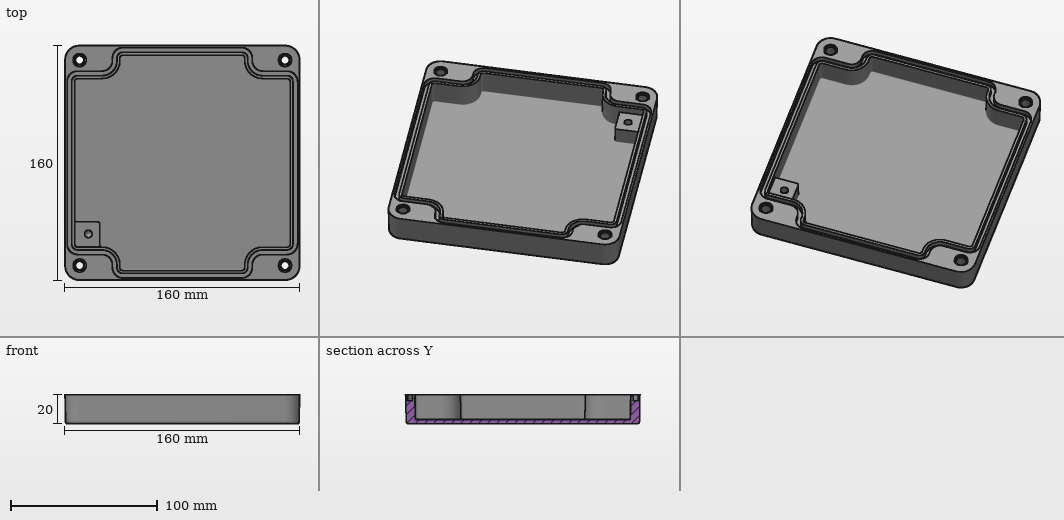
import cadquery as cq
import math

side = 160.0
height = 20.0
corner_radius = 10.0
bottom_fillet = 2.0
draft_angle = 1.0

lip_width = 1.5
groove_width = 3.2
groove_depth = 4.0
rim_width = 2.0

step_along_x = 32.3
step_along_y = 17.5
convex_radius = 7.2
concave_radius = 7.0

floor_thickness = 3.2
floor_fillet = 0.5

screw_inset = 10.0
recess_diameter = 9.0
recess_depth = 1.5
bore_top_diameter = 6.5
bore_bottom_diameter = 5.8

pad_inner_edge_x = 23.7
pad_inner_edge_y = 39.7
pad_top = 14.9
pad_corner_radius = 1.3
pad_hole_inset_x = 16.0
pad_hole_inset_y = 31.5
pad_hole_diameter = 5.1
pad_hole_depth = 6.4
drill_tip_angle = 118

half_side = side / 2


def rectangle_sketch(size_x, size_y, radius):
    return cq.Sketch().rect(size_x, size_y).vertices().fillet(radius)


def stepped_face(inset):
    """Flat face inside the groove outline, with the outline moved inward by inset."""
    reach = half_side - lip_width - inset
    step_x = half_side - step_along_x - inset
    step_y = half_side - step_along_y - inset
    convex = convex_radius - inset
    concave = concave_radius + inset
    outline = (
        rectangle_sketch(2 * reach, 2 * step_y, convex)
        .reset().face(rectangle_sketch(2 * step_x, 2 * reach, convex))
        .clean().reset()
    )
    for sign_x in (-1, 1):
        for sign_y in (-1, 1):
            inner_corner = cq.selectors.NearestToPointSelector((sign_x * step_x, sign_y * step_y, 0))
            outline = outline.vertices(inner_corner).fillet(concave).reset()
    return outline


def drafted_down(outline, top, depth, taper):
    """Solid below an outline; a positive taper narrows it toward the bottom."""
    return (
        cq.Workplane("XY", origin=(0, 0, top)).placeSketch(outline)
        .extrude(-depth, taper=taper)
    )


def outer_block():
    block = drafted_down(rectangle_sketch(side, side, corner_radius), height, height, draft_angle)
    return block.faces("<Z").edges().fillet(bottom_fillet)


def seal_groove():
    rim = drafted_down(stepped_face(groove_width), height, groove_depth, -draft_angle)
    return drafted_down(stepped_face(0), height, groove_depth, draft_angle).cut(rim)


def pad():
    """Block over the cavity corner; the cavity walls bound its outer sides."""
    outline = (
        cq.Sketch().push([(-half_side, -half_side)])
        .rect(2 * pad_inner_edge_x, 2 * pad_inner_edge_y)
        .reset().vertices().fillet(pad_corner_radius)
    )
    return drafted_down(outline, pad_top, pad_top - floor_thickness, -draft_angle)


def cavity():
    """Open space above the floor and the pad, rounded along the floor."""
    opening = stepped_face(groove_width + rim_width)
    space = drafted_down(opening, height, height - floor_thickness, draft_angle).cut(pad())
    return space.faces("<Z").edges().fillet(floor_fillet)


def revolved_cutter(profile):
    """Turn (radius, z) points about the Z axis."""
    return cq.Workplane("XZ").polyline(profile).close().revolve(360, (0, 0), (0, 1))


def screw_hole():
    recess_radius = recess_diameter / 2
    recess_floor = height - recess_depth
    return revolved_cutter([
        (0, 0),
        (bore_bottom_diameter / 2, 0),
        (bore_top_diameter / 2, recess_floor),
        (recess_radius, recess_floor),
        (recess_radius, height),
        (0, height),
    ])


def pad_hole():
    """Blind hole with a conical drill tip."""
    radius = pad_hole_diameter / 2
    shoulder = pad_top - pad_hole_depth
    tip = shoulder - radius / math.tan(math.radians(drill_tip_angle / 2))
    cutter = revolved_cutter([(0, pad_top), (radius, pad_top), (radius, shoulder), (0, tip)])
    return cutter.translate((pad_hole_inset_x - half_side, pad_hole_inset_y - half_side, 0))


result = outer_block().cut(seal_groove()).cut(cavity()).cut(pad_hole())

screw_reach = half_side - screw_inset
for screw_x in (-screw_reach, screw_reach):
    for screw_y in (-screw_reach, screw_reach):
        result = result.cut(screw_hole().translate((screw_x, screw_y, 0)))